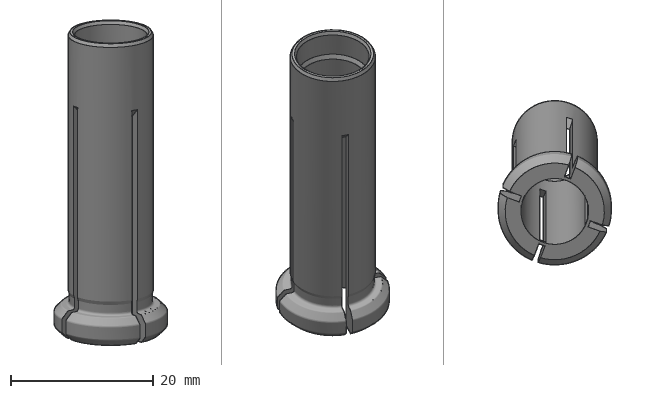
import cadquery as cq
import math

length = 44.0
flange_radius = 15.95 / 2
body_radius = 12.0 / 2
bore_radius = 9.5 / 2
counterbore_radius = 10.2 / 2

taper_slope = math.tan(math.radians(60))

flange_height = 4.05
flange_chamfer = 1.0
flange_edge_round = 0.3

neck_radius = 5.85
neck_fillet = 0.4
neck_top = 5.6
body_start = 6.1

rim_inset = 0.25
rim_chamfer_height = rim_inset * taper_slope
counterbore_depth = 3.8

slot_width = 0.92
slot_top = 34.0
slot_floor_height = 0.75


def make_flange():
    """Disc with chamfered edges and rounded corners, sharp only around its underside."""
    flange = cq.Workplane("XY").circle(flange_radius).extrude(flange_height)
    flange = flange.faces("<Z or >Z").chamfer(flange_chamfer)
    shoulder = cq.selectors.BoxSelector(
        (-flange_radius, -flange_radius, 0.05),
        (flange_radius, flange_radius, flange_height + 0.45),
    )
    return flange.edges(shoulder).edges("%CIRCLE").fillet(flange_edge_round)


def make_shaft():
    """Solid body and its narrower neck, turned about Z."""
    return (
        cq.Workplane("XZ")
        .lineTo(neck_radius, 0)
        .lineTo(neck_radius, neck_top)
        .lineTo(body_radius, body_start)
        .lineTo(body_radius, length - rim_chamfer_height)
        .lineTo(body_radius - rim_inset, length)
        .lineTo(0, length)
        .close()
        .revolve(360, (0, 0), (0, 1))
    )


def make_bore():
    """Through bore, with a tapered step up to the counterbore and a chamfered mouth."""
    step_top = length - counterbore_depth
    step_height = (counterbore_radius - bore_radius) * taper_slope
    return (
        cq.Workplane("XZ")
        .lineTo(bore_radius, 0)
        .lineTo(bore_radius, step_top - step_height)
        .lineTo(counterbore_radius, step_top)
        .lineTo(counterbore_radius, length - rim_chamfer_height)
        .lineTo(counterbore_radius + rim_inset, length)
        .lineTo(0, length)
        .close()
        .revolve(360, (0, 0), (0, 1))
    )


def make_slot():
    """One slot on the +X side, with a steep sloping floor and a 45 degree roof."""
    wall = body_radius - bore_radius
    floor_run = slot_floor_height / taper_slope
    return (
        cq.Workplane("XZ")
        .moveTo(bore_radius - floor_run, 2 * slot_floor_height)
        .lineTo(bore_radius + floor_run, 0)
        .lineTo(flange_radius + 0.45, 0)
        .lineTo(flange_radius + 0.45, slot_top)
        .lineTo(body_radius, slot_top)
        .lineTo(body_radius - 2 * wall, slot_top - 2 * wall)
        .close()
        .extrude(slot_width / 2, both=True)
    )


neck_corner = cq.selectors.BoxSelector(
    (-body_radius, -body_radius, flange_height - 0.05),
    (body_radius, body_radius, flange_height + 0.05),
)
result = make_flange().union(make_shaft())
result = result.edges(neck_corner).fillet(neck_fillet)
result = result.cut(make_bore())
for angle in (0, 90, 180, 270):
    result = result.cut(make_slot().rotate((0, 0, 0), (0, 0, 1), angle))